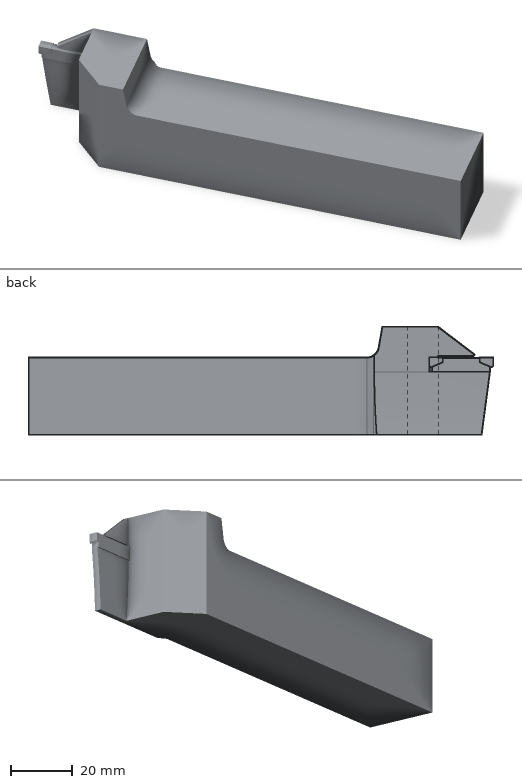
import cadquery as cq
import math

length = 150.0
shank_size = 25.0
total_height = 35.0
total_width = 27.0
head_start = 17.8
head_chamfer = 9.9
head_top_end = 35.8
head_back_slope = 10.0
head_fillet = 3.8
head_side_end = 37.6
side_fillet = 3.0

blade_thickness = 2.2
blade_back = 26.2
blade_front = blade_back - blade_thickness
bow = total_width - blade_back
blade_toe = 3.8
blade_nose = 1.0
jaw_tip = 6.0
jaw_bottom = 25.5
jaw_tip_height = 0.5

insert_length = 20.7
insert_bottom = 20.4
insert_top = 25.0
insert_width = 3.0
insert_back = 26.4
insert_front = insert_back - insert_width
tip_length = 4.4
tip_height = 2.7
tip_flank_rise = 1.6
waist_relief = 0.2
waist_drop = 0.2
end_relief = 1.0


def extrude_along_y(profile, y_start, y_end):
    """Extrude a closed XZ profile between two Y positions."""
    return profile.extrude(y_start - y_end).translate((0, y_start, 0))


def bowed_plate(x_start, x_end, front, front_is_bowed):
    """Full-height plate whose back, and optionally front, curves out below the insert seat."""
    half = insert_bottom / 2
    bow_at_half = bow / 4
    plate = (
        cq.Workplane("YZ")
        .moveTo(front, total_height)
        .lineTo(blade_back, total_height)
        .lineTo(blade_back, insert_bottom)
        .threePointArc((blade_back + bow_at_half, half), (total_width, 0))
    )
    if front_is_bowed:
        plate = (
            plate.lineTo(front + bow, 0)
            .threePointArc((front + bow_at_half, half), (front, insert_bottom))
        )
    else:
        plate = plate.lineTo(front, 0)
    return plate.close().extrude(x_end - x_start).translate((x_start, 0, 0))


def make_blade():
    """Lower support and upper jaw, separated by the insert slot."""
    support = [
        (blade_toe, 0),
        (head_start, 0),
        (head_start, insert_bottom),
        (blade_nose, insert_bottom),
    ]
    jaw = [
        (jaw_tip + jaw_tip_height, jaw_bottom),
        (head_start, jaw_bottom),
        (head_start, total_height),
        (jaw_tip, jaw_bottom + jaw_tip_height),
    ]
    plate = bowed_plate(0, head_start, blade_front, True)
    profile = cq.Workplane("XZ").polyline(support).close().polyline(jaw).close()
    return plate.intersect(extrude_along_y(profile, 0, total_width))


def make_body():
    """Shank and raised head, chamfered at the front corner and widened at the back."""
    slope_run = (total_height - shank_size) * math.tan(math.radians(head_back_slope))
    step_x = head_top_end + slope_run
    side_step = total_width - shank_size
    side_profile = (
        cq.Workplane("XZ")
        .moveTo(head_start, 0)
        .lineTo(length, 0)
        .lineTo(length, shank_size)
        .lineTo(step_x, shank_size)
        .lineTo(head_top_end, total_height)
        .lineTo(head_start, total_height)
        .close()
    )
    side = extrude_along_y(side_profile, 0, total_width)
    side = side.edges(cq.selectors.NearestToPointSelector((step_x, total_width / 2, shank_size)))
    side = side.fillet(head_fillet)

    plan = (
        cq.Workplane("XY")
        .moveTo(head_start, head_chamfer)
        .lineTo(head_start + head_chamfer, 0)
        .lineTo(length, 0)
        .lineTo(length, shank_size)
        .lineTo(head_side_end + side_step, shank_size)
        .lineTo(head_side_end, total_width)
        .lineTo(head_start, total_width)
        .close()
        .extrude(total_height)
    )
    side_corner = (head_side_end + side_step, shank_size, total_height / 2)
    plan = plan.edges(cq.selectors.NearestToPointSelector(side_corner)).fillet(side_fillet)
    return side.intersect(plan).intersect(bowed_plate(head_start, length, 0, False))


def make_tip():
    """Wide cutting tip at x = 0, with a flank rising towards the waist."""
    tip_bottom = insert_top - tip_height
    profile = cq.Workplane("XZ").polyline([
        (0, insert_top),
        (0, tip_bottom),
        (end_relief / 2, tip_bottom - end_relief / 2),
        (tip_length, tip_bottom + tip_flank_rise - end_relief / 2),
        (tip_length, insert_top),
    ]).close()
    return extrude_along_y(profile, insert_front, insert_back)


def make_insert():
    """Waist with a cutting tip on each end."""
    waist_top = insert_top - waist_drop
    profile = cq.Workplane("XZ").polyline([
        (end_relief, insert_bottom),
        (insert_length - end_relief, insert_bottom),
        (insert_length - end_relief, waist_top),
        (end_relief, waist_top),
    ]).close()
    waist = extrude_along_y(profile, insert_front + waist_relief, insert_back - waist_relief)
    tip = make_tip()
    far_tip = tip.mirror("YZ").translate((insert_length, 0, 0))
    return waist.union(tip).union(far_tip)


def make_insert_pocket():
    """Make the cutter for the slot that holds the buried end of the insert, open at the back."""
    profile = cq.Workplane("XZ").polyline([
        (head_start, insert_bottom),
        (insert_length, insert_bottom),
        (insert_length, insert_top),
        (head_start, insert_top),
    ]).close()
    return extrude_along_y(profile, insert_front, total_width)


insert = make_insert()
holder = make_body().union(make_blade()).cut(make_insert_pocket())

result = cq.Compound.makeCompound([holder.solids().val(), insert.solids().val()])